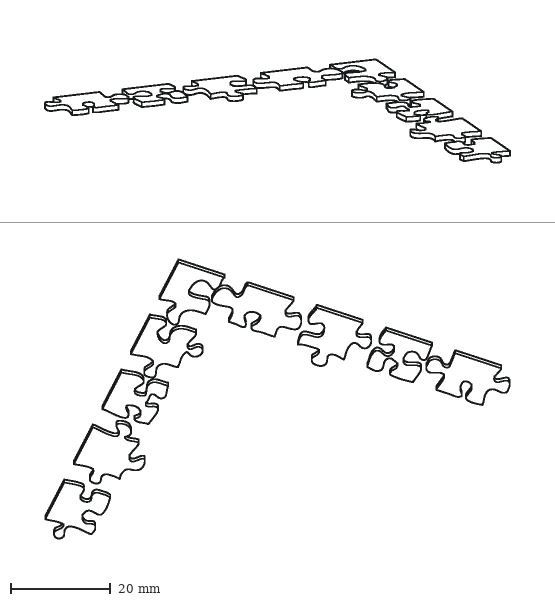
import cadquery as cq

SIDE = 10.0
GAP = 5.0
PITCH = SIDE + GAP
THICKNESS = 1.0
PIECES_PER_ARM = 5
CORNER_SHIFT = -0.5


row_right_edges = [
    [
        (1.7, -0.3), (3.2, -0.2), (3.7, 0.3), (3.2, 1.6), (2.9, 2.8), (3.45, 4.0), (4.55, 4.8),
        (5.3, 4.85), (5.7, 4.35), (5.5, 2.8), (5.65, 1.3), (6.6, 0.4), (7.9, 0.0),
    ],
    [
        (1.5, -0.2), (4.4, -0.2), (5.1, 0.45), (4.6, 1.8), (4.2, 3.2), (4.8, 3.9),
        (5.5, 4.0), (6.55, 3.6), (6.55, 2.65), (6.2, 0.9), (7.0, -0.2), (8.1, -0.45),
    ],
    [
        (2.05, 0.2), (4.3, 0.45), (5.4, 0.1), (5.45, -0.65), (4.6, -1.6), (4.2, -2.6), (5.1, -3.1),
        (6.3, -3.1), (7.5, -2.0), (7.5, -0.9), (6.9, -0.15), (7.6, 0.2), (8.7, 0.15),
    ],
    [
        (1.25, -0.2), (3.0, -0.45), (4.2, -0.15), (4.4, 0.65), (4.5, 2.4), (5.4, 2.9),
        (6.5, 2.5), (6.6, 1.85), (6.4, 0.9), (6.85, -0.1), (7.7, -0.2), (9.05, -0.2),
    ],
    [
        (1.8, -0.2), (3.3, -0.3), (4.0, -0.1), (3.9, 0.7), (3.3, 1.55), (2.95, 2.3), (3.4, 3.2),
        (4.3, 3.5), (5.1, 2.5), (4.7, 1.2), (4.9, 0.1), (6.2, -0.4), (8.1, -0.2),
    ],
]

row_bottom_edges = [
    [
        (2.1, -0.15), (4.05, -0.15), (4.35, 0.4), (3.7, 1.2), (3.1, 2.0), (3.3, 2.7), (4.3, 3.1),
        (5.4, 2.65), (5.8, 1.9), (5.6, 0.9), (5.3, 0.15), (5.9, -0.15), (8.1, -0.15),
    ],
    [
        (0.7, 0.2), (2.8, 0.2), (3.1, -0.45), (2.65, -1.7), (2.8, -2.3), (4.2, -2.35),
        (5.8, -2.3), (5.9, -1.7), (5.45, -0.7), (5.45, 0.1), (7.05, 0.45), (8.6, 0.2),
    ],
    [
        (1.85, -0.15), (4.55, -0.15), (4.9, 0.45), (4.35, 1.3), (3.4, 2.5), (4.7, 3.1),
        (6.4, 2.6), (6.85, 1.6), (7.1, 0.4), (8.15, -0.15), (9.4, -0.15),
    ],
    [
        (1.55, 0.2), (3.75, 0.2), (4.8, -0.2), (4.7, -1.55), (4.7, -2.8), (6.1, -3.45),
        (7.5, -2.8), (7.9, -2.0), (7.5, -0.45), (8.45, 0.2), (9.4, 0.15),
    ],
]

column_bottom_edges = [
    [
        (1.5, -0.15), (2.95, -0.2), (3.6, -0.8), (3.3, -1.55), (2.4, -3.0), (2.5, -4.05), (3.45, -4.9),
        (5.15, -5.3), (6.55, -5.0), (6.85, -4.3), (6.85, -3.0), (6.6, -1.8), (6.6, -0.8), (7.3, -0.2), (8.6, 0.0),
    ],
    [
        (1.5, -0.2), (3.8, -0.2), (4.2, 0.2), (3.8, 1.3), (3.3, 2.35), (4.0, 3.2),
        (5.45, 3.7), (6.4, 3.45), (6.85, 2.7), (7.0, 0.95), (7.35, 0.0), (8.45, -0.2),
    ],
    [
        (1.25, -0.2), (2.4, -0.3), (3.45, 0.15), (3.5, 0.9), (3.1, 1.85), (2.9, 2.6), (3.6, 3.3),
        (4.7, 3.45), (5.8, 2.8), (5.9, 2.35), (5.4, 1.1), (5.4, 0.2), (6.2, -0.2), (7.9, -0.3),
    ],
    [
        (1.25, 0.1), (2.8, 0.2), (3.9, 0.0), (4.05, -0.45), (3.0, -2.0), (2.9, -2.9), (3.75, -4.0),
        (4.6, -4.05), (5.65, -4.0), (6.4, -3.2), (6.2, -2.0), (5.7, -0.9), (5.8, -0.15), (7.3, 0.3),
    ],
    [
        (1.5, -0.2), (3.2, -0.2), (3.5, 0.2), (3.0, 1.3), (2.4, 2.4), (3.2, 3.15), (4.2, 3.3),
        (5.2, 3.2), (5.6, 2.65), (5.5, 0.6), (5.95, -0.15), (7.2, -0.45), (8.5, -0.2),
    ],
]

column_right_edges = [
    [
        (1.0, 0.0), (2.1, 0.1), (3.45, 0.0), (3.5, -0.5), (3.0, -1.4), (2.4, -2.6), (2.7, -3.6), (4.1, -4.2),
        (5.45, -3.6), (5.6, -2.6), (5.15, -1.4), (4.7, -0.5), (5.15, 0.0), (6.6, 0.0), (8.5, 0.0),
    ],
    [
        (1.25, -0.4), (3.2, -0.45), (4.5, -0.3), (4.7, 0.2), (4.4, 1.2), (4.0, 2.3), (4.55, 3.15),
        (5.45, 3.4), (6.55, 3.15), (7.05, 2.4), (7.0, 1.5), (6.85, 0.1), (7.4, -0.3), (8.9, -0.2),
    ],
    [
        (1.0, 0.15), (2.0, 0.2), (2.9, -0.4), (2.9, -1.9), (2.95, -3.45), (3.45, -3.8), (4.4, -3.6),
        (5.45, -2.95), (5.5, -2.05), (4.9, -1.0), (4.9, -0.15), (5.9, 0.15), (7.4, 0.2),
    ],
    [
        (1.6, 0.0), (3.2, 0.0), (4.85, -0.1), (5.3, -0.5), (4.7, -1.5), (4.2, -2.95), (4.35, -4.05), (5.2, -4.3),
        (6.25, -3.6), (6.5, -2.35), (6.25, -1.25), (6.3, -0.3), (7.2, 0.15), (8.3, 0.2),
    ],
]


def right_edge(top, points):
    """Points of a right-hand edge, measured downwards from the nominal corner `top`."""
    return [(top[0] + out, top[1] - along) for along, out in points]


def bottom_edge(left, points):
    """Points of a bottom edge, measured to the right from the nominal corner `left`."""
    return [(left[0] + along, left[1] - out) for along, out in points]


def make_piece(corners, right, bottom, left=(), top=()):
    """Plate with the given corners (top left, top right, bottom right, bottom left).

    Each edge lists its inner points, going clockwise; an edge without any is straight.
    """
    outline = cq.Workplane("XY").moveTo(*corners[0])
    ends = corners[1:] + corners[:1]
    for points, end in zip((top, right, bottom, left), ends):
        if points:
            outline = outline.spline([*points, end], includeCurrent=True)
        else:
            outline = outline.lineTo(*end)
    return outline.close().extrude(THICKNESS).val()


def square_corners(x, y):
    """Corners of a nominal square with its top left at (x, y), going clockwise."""
    return [(x, y), (x + SIDE, y), (x + SIDE, y - SIDE), (x, y - SIDE)]


def shifted(corner):
    return (corner[0] + CORNER_SHIFT, corner[1])


def make_corner_piece():
    corners = square_corners(0, 0)
    right = right_edge(corners[1], row_right_edges[0])
    bottom = bottom_edge(corners[3], column_bottom_edges[0])
    return make_piece(corners, right, bottom[::-1])


def make_row_piece(index):
    """Row piece: straight top, and a left edge that matches the piece before it."""
    corners = square_corners(index * PITCH, 0)
    right = right_edge(corners[1], row_right_edges[index])
    bottom = bottom_edge(corners[3], row_bottom_edges[index - 1])
    left = right_edge(corners[0], row_right_edges[index - 1])
    if index == 1:
        corners[2] = shifted(corners[2])
    if index == 2:
        corners[3] = shifted(corners[3])
    return make_piece(corners, right, bottom[::-1], left=left[::-1])


def make_column_piece(index):
    """Column piece: straight left side, and a top edge that matches the piece above it."""
    corners = square_corners(0, -index * PITCH)
    right = right_edge(corners[1], column_right_edges[index - 1])
    bottom = bottom_edge(corners[3], column_bottom_edges[index])
    top = bottom_edge(corners[0], column_bottom_edges[index - 1])
    return make_piece(corners, right, bottom[::-1], top=top)


corner_piece = make_corner_piece()
row_pieces = [make_row_piece(index) for index in range(1, PIECES_PER_ARM)]
column_pieces = [make_column_piece(index) for index in range(1, PIECES_PER_ARM)]

result = cq.Compound.makeCompound([corner_piece, *row_pieces, *column_pieces])